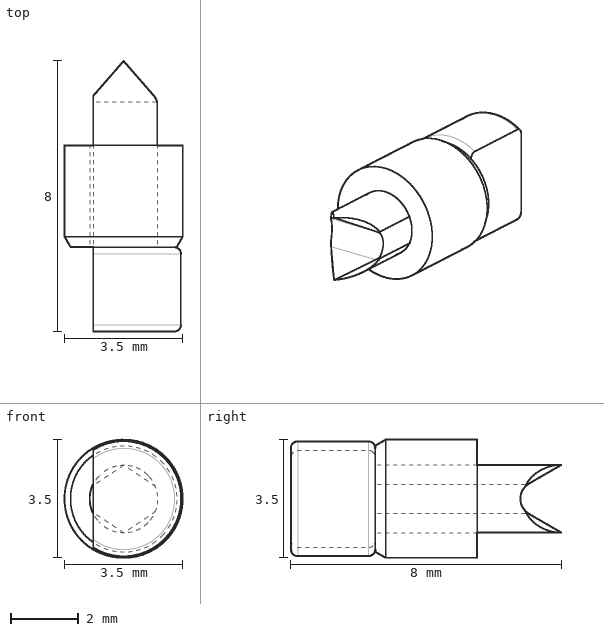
import cadquery as cq
import math

TOTAL_LENGTH = 8.0
HEAD_LENGTH = 2.5
HEAD_DIAMETER = 3.4
HEAD_RADIUS = HEAD_DIAMETER / 2
HEAD_FILLET = 0.2
SHAFT_RADIUS = 1.0
FLAT_OFFSET = 0.9

NOTCH_HALF_ANGLE = math.radians(30)
NOTCH_ROOT_RADIUS = 0.52
TIP_SLOPE_ANGLE = math.radians(49)

SLEEVE_LENGTH = 3.01
SLEEVE_RADIUS = 1.75
BEVEL_LENGTH = 0.31
BEVEL_ANGLE = math.radians(30)
BEVEL_DEPTH = BEVEL_LENGTH * math.tan(BEVEL_ANGLE)


def cylinder(radius, start, length):
    """Solid cylinder along +Y, beginning at Y = start."""
    return cq.Workplane("XZ", origin=(0, start, 0)).circle(radius).extrude(-length)


def make_notch_cutter():
    """V-notch across the shaft tip along X, with a rounded root."""
    mouth = SHAFT_RADIUS
    apex_y = TOTAL_LENGTH - mouth / math.tan(NOTCH_HALF_ANGLE)
    root_center_y = apex_y + NOTCH_ROOT_RADIUS / math.sin(NOTCH_HALF_ANGLE)
    tangent_y = root_center_y - NOTCH_ROOT_RADIUS * math.sin(NOTCH_HALF_ANGLE)
    tangent_z = NOTCH_ROOT_RADIUS * math.cos(NOTCH_HALF_ANGLE)
    return (
        cq.Workplane("YZ")
        .moveTo(TOTAL_LENGTH, mouth)
        .lineTo(tangent_y, tangent_z)
        .threePointArc((root_center_y - NOTCH_ROOT_RADIUS, 0), (tangent_y, -tangent_z))
        .lineTo(TOTAL_LENGTH, -mouth)
        .close()
        .extrude(SHAFT_RADIUS, both=True)
    )


def make_tip_cutter(side):
    """Wedge that slopes the tip down from its central ridge towards side * X."""
    drop = SHAFT_RADIUS * math.tan(TIP_SLOPE_ANGLE)
    return (
        cq.Workplane("XY")
        .moveTo(0, TOTAL_LENGTH)
        .lineTo(side * SHAFT_RADIUS, TOTAL_LENGTH - drop)
        .lineTo(side * SHAFT_RADIUS, TOTAL_LENGTH)
        .close()
        .extrude(SHAFT_RADIUS, both=True)
    )


def make_pin():
    """Rounded head and notched, pointed shaft sharing one full-length flat."""
    head = cylinder(HEAD_RADIUS, 0, HEAD_LENGTH).edges().fillet(HEAD_FILLET)
    shaft = cylinder(SHAFT_RADIUS, HEAD_LENGTH, TOTAL_LENGTH - HEAD_LENGTH)
    flat_cutter = cq.Workplane("XY").box(
        HEAD_RADIUS, TOTAL_LENGTH, 2 * HEAD_RADIUS, centered=(False, False, True)
    ).translate((-FLAT_OFFSET - HEAD_RADIUS, 0, 0))
    body = head.union(shaft).cut(flat_cutter).cut(make_notch_cutter())
    for side in (-1, 1):
        body = body.cut(make_tip_cutter(side))
    return body


def make_sleeve():
    """Sleeve fitting the shaft, bevelled at the end that meets the head."""
    body = cylinder(SLEEVE_RADIUS, HEAD_LENGTH, SLEEVE_LENGTH)
    body = body.faces("<Y").chamfer(BEVEL_LENGTH, BEVEL_DEPTH)
    return body.cut(cylinder(SHAFT_RADIUS, HEAD_LENGTH, SLEEVE_LENGTH))


pin = make_pin()
sleeve = make_sleeve()
result = cq.Compound.makeCompound([pin.val(), sleeve.val()])